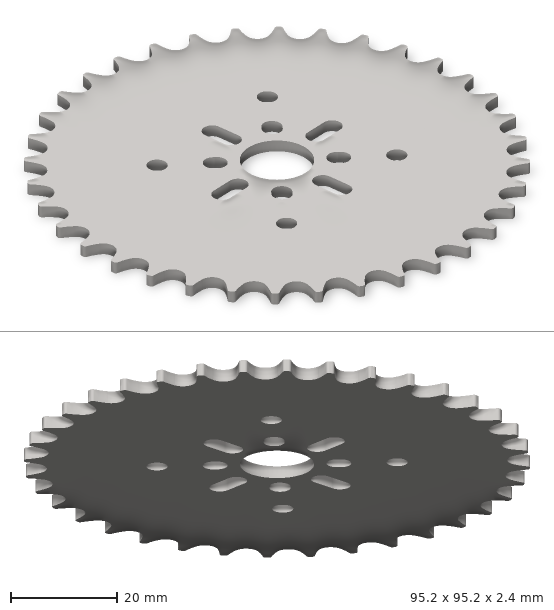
import cadquery as cq
import math

thickness = 2.4
tip_radius = 47.6

tooth_count = 36
chain_pitch = 8.0
roller_diameter = 5.0
seat_half_angle = 58.0
flank_radius = 11.4
tip_rounding = 0.6

bore_diameter = 14.0
hole_diameter = 4.0
hole_grid = 8.0
bolt_circle_radius = 12.0

tooth_angle = 360.0 / tooth_count
pitch_radius = chain_pitch / (2 * math.sin(math.radians(tooth_angle / 2)))
seat_radius = roller_diameter / 2
root_radius = pitch_radius - seat_radius
slot_inner_center = hole_grid * math.sqrt(2)
slot_outer_center = 2 * hole_grid


def flank_point(angle):
    """Point of the flank arc whose normal is `angle` degrees away from the inward gap direction."""
    seat_end = math.radians(seat_half_angle)
    center_distance = flank_radius - seat_radius
    center_x = pitch_radius + center_distance * math.cos(seat_end)
    center_y = -center_distance * math.sin(seat_end)
    normal = math.radians(angle)
    return (
        center_x - flank_radius * math.cos(normal),
        center_y + flank_radius * math.sin(normal),
    )


def mirrored(point):
    return (point[0], -point[1])


def tooth_gap():
    """Cutter for the gap on the +X axis: a roller seat between two flanks that open outward."""
    flank_end_angle = 90.0
    seat_end = flank_point(seat_half_angle)
    flank_middle = flank_point((seat_half_angle + flank_end_angle) / 2)
    flank_end = flank_point(flank_end_angle)
    return (
        cq.Workplane("XY")
        .moveTo(*mirrored(seat_end))
        .threePointArc((root_radius, 0), seat_end)
        .threePointArc(flank_middle, flank_end)
        .lineTo(*mirrored(flank_end))
        .threePointArc(mirrored(flank_middle), mirrored(seat_end))
        .close()
        .extrude(thickness)
    )


def toothed_plate():
    """Disc with evenly spaced gaps, one tooth centred on +X, and rounded tooth tips."""
    gap = tooth_gap().val()
    gaps = [
        gap.rotate((0, 0, 0), (0, 0, 1), (index + 0.5) * tooth_angle)
        for index in range(tooth_count)
    ]
    disc = cq.Workplane("XY").circle(tip_radius).extrude(thickness)
    plate = disc.cut(cq.Workplane(cq.Compound.makeCompound(gaps)))
    tip_corners = plate.edges("|Z").filter(
        lambda edge: math.hypot(edge.Center().x, edge.Center().y) > tip_radius - tip_rounding
    )
    return tip_corners.fillet(tip_rounding)


def through_holes(points):
    """Cutter for one plain mounting hole at each point."""
    return cq.Workplane("XY").pushPoints(points).circle(hole_diameter / 2).extrude(thickness)


def square_corners(offset):
    """Four points at +-offset in both X and Y."""
    return [(x, y) for x in (-offset, offset) for y in (-offset, offset)]


def radial_slots():
    """Cutter for the round-ended slots along +X, +Y, -X and -Y."""
    return (
        cq.Workplane("XY")
        .polarArray((slot_inner_center + slot_outer_center) / 2, 0, 360, 4)
        .slot2D(slot_outer_center - slot_inner_center + hole_diameter, hole_diameter)
        .extrude(thickness)
    )


result = toothed_plate()

bore = cq.Workplane("XY").circle(bore_diameter / 2).extrude(thickness)
result = result.cut(bore)

result = result.cut(through_holes(square_corners(2 * hole_grid)))

result = result.cut(through_holes(square_corners(hole_grid)))
result = result.cut(through_holes(square_corners(bolt_circle_radius / math.sqrt(2))))

result = result.cut(radial_slots())